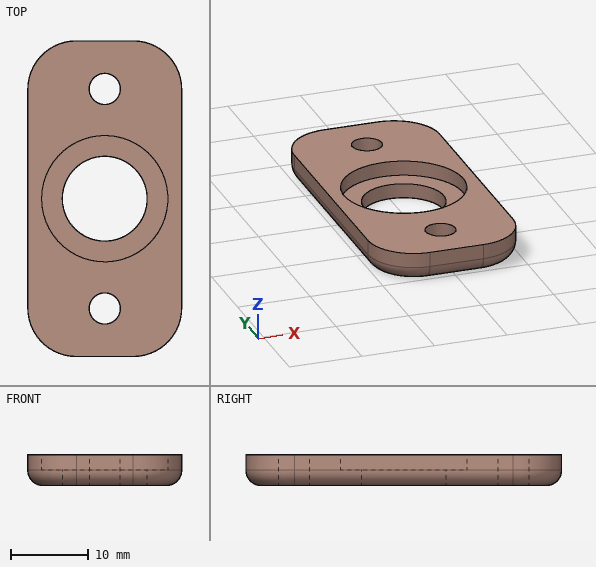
import cadquery as cq

length = 41.0
width = 20.0
thickness = 4.0
corner_radius = 6.3
bottom_edge_radius = thickness / 2

bore_diameter = 11.0
recess_diameter = 16.4
recess_depth = thickness / 2

mount_hole_diameter = 4.0
mount_hole_spacing = 28.5


def make_plate():
    """Rounded rectangular plate, bottom face at Z = 0, with a rounded bottom rim."""
    plate = cq.Workplane("XY").rect(width, length).extrude(thickness)
    plate = plate.edges("|Z").fillet(corner_radius)
    return plate.faces("<Z").edges().fillet(bottom_edge_radius)


def cut_stepped_bore(plate):
    """Through bore with a wider recess in the top face."""
    return plate.faces(">Z").workplane(origin=(0, 0, thickness)).cboreHole(
        bore_diameter, recess_diameter, recess_depth
    )


def cut_mount_holes(plate):
    """Two through holes, one on each side of the bore."""
    return (
        plate.faces(">Z")
        .workplane(origin=(0, 0, thickness))
        .rarray(0.4, mount_hole_spacing, 1, 2)
        .hole(mount_hole_diameter)
    )


result = cut_mount_holes(cut_stepped_bore(make_plate()))